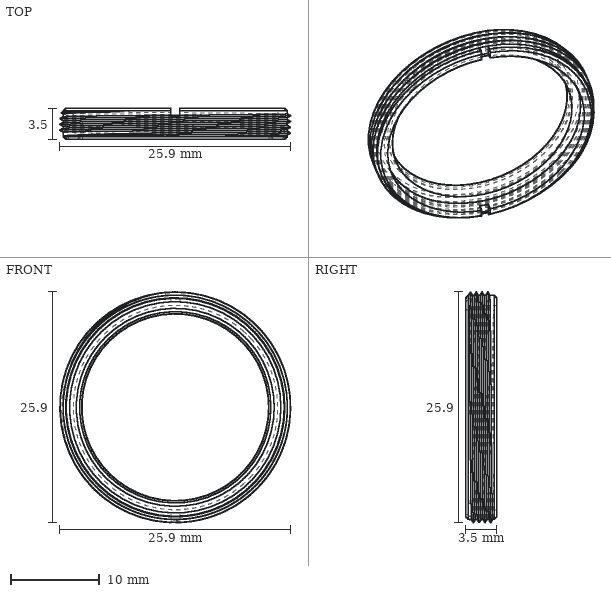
import cadquery as cq
import math


width = 3.5
bore_radius = 10.5
outer_radius = 25.93 / 2
edge_chamfer = 0.3
counterbore_radius = 11.5
counterbore_depth = 1.5

pitch = 0.65
root_width = pitch * 3 / 4
thread_depth = 0.35
core_radius = outer_radius - thread_depth
fade_angle = 90
full_angle = 1325
tip_scale = 0.02
thread_start_angle = 175
thread_start_height = 0.37
embed = 0.05
fade_points = 10

slot_width = 1.0
slot_depth = 0.8
slot_length = 3 * outer_radius

seal_section_radius = 0.75
seal_mean_radius = 11.5
seal_centre_depth = 0.65


def lay_over(body):
    """Turn local Z into Y."""
    return body.rotate((0, 0, 0), (1, 0, 0), -90)


def back_cut(outline, depth):
    """A cutter of the given outline that enters the back face to a depth."""
    return outline.extrude(depth).translate((0, 0, width - depth))


def ridge_section(depth_share, width_share):
    """The three corners (radius, axial offset) of the ridge, scaled down where it tapers."""
    root_radius = core_radius - embed
    crest_radius = core_radius + thread_depth * depth_share
    half_root = root_width / 2 * width_share
    return [(root_radius, -half_root), (crest_radius, 0), (root_radius, half_root)]


def ridge_corners(angle):
    """The three corner points of the ridge at an angle from its start."""
    total_angle = full_angle + 2 * fade_angle
    from_end = min(angle, total_angle - angle)
    fade = max(0, 1 - from_end / fade_angle)
    depth_share = 1 - (1 - tip_scale) * math.sin(fade * math.pi / 2)
    width_share = 1 - (1 - tip_scale) * fade
    turn = math.radians(angle)
    rise = pitch * angle / 360
    return [
        cq.Vector(radius * math.cos(turn), radius * math.sin(turn), rise + offset)
        for radius, offset in ridge_section(depth_share, width_share)
    ]


def fade_edges(start_angle):
    """The three corner curves along one fading end."""
    stations = [
        ridge_corners(start_angle + fade_angle * step / fade_points)
        for step in range(fade_points + 1)
    ]
    return [cq.Edge.makeSpline(list(curve)) for curve in zip(*stations)]


def helix_edges():
    """The three corner helices along the full-height stretch."""
    start_rise = pitch * fade_angle / 360
    length = pitch * full_angle / 360
    edges = []
    for radius, offset in ridge_section(1, 1):
        helix = cq.Wire.makeHelix(pitch, length, radius)
        helix = helix.rotate(cq.Vector(), cq.Vector(0, 0, 1), fade_angle)
        edges.append(helix.translate(cq.Vector(0, 0, start_rise + offset)))
    return edges


def make_ridge():
    faces = []
    for edges in (fade_edges(0), helix_edges(), fade_edges(fade_angle + full_angle)):
        for side in range(len(edges)):
            faces.append(cq.Face.makeRuledSurface(edges[side], edges[(side + 1) % len(edges)]))
    for angle in (0, full_angle + 2 * fade_angle):
        outline = cq.Wire.makePolygon(ridge_corners(angle), close=True)
        faces.append(cq.Face.makeFromWires(outline))
    ridge = cq.Solid.makeSolid(cq.Shell.makeShell(faces))
    ridge = ridge.rotate(cq.Vector(), cq.Vector(0, 0, 1), thread_start_angle)
    return ridge.translate(cq.Vector(0, 0, thread_start_height))


def make_ring():
    core = cq.Workplane("XY").circle(core_radius).extrude(width).edges().chamfer(edge_chamfer)
    bore = cq.Workplane("XY").circle(bore_radius).extrude(width)
    groove = (
        cq.Workplane("XY")
        .circle(seal_mean_radius + seal_section_radius)
        .circle(seal_mean_radius - seal_section_radius)
        .extrude(seal_centre_depth + seal_section_radius)
    )
    counterbore = back_cut(cq.Workplane("XY").circle(counterbore_radius), counterbore_depth)
    slots = back_cut(cq.Workplane("XY").rect(slot_width, slot_length), slot_depth)
    core = core.cut(bore).cut(groove).cut(counterbore)
    return lay_over(core.union(cq.Workplane(make_ridge())).cut(slots))


def make_seal():
    section = cq.Workplane("XZ").center(seal_mean_radius, seal_centre_depth).circle(seal_section_radius)
    round_ring = section.revolve(360, (-seal_mean_radius, 0), (-seal_mean_radius, 1))
    return lay_over(round_ring.intersect(cq.Workplane("XY").circle(outer_radius).extrude(width)))


ring = make_ring()
seal = make_seal()
result = cq.Compound.makeCompound([ring.solids().val(), seal.solids().val()])